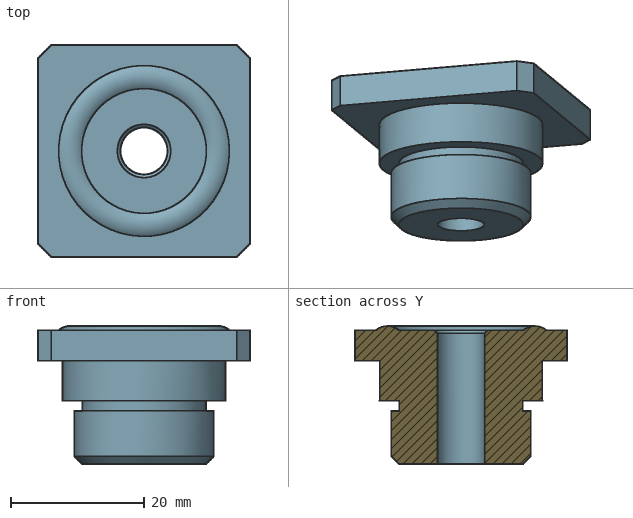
import cadquery as cq

flange_width = 31.8
flange_thickness = 4.6
corner_chamfer = 2.0

collar_diameter = 24.5
collar_length = 6.0
neck_diameter = 18.6
neck_length = 1.5
spigot_diameter = 20.96
spigot_length = 8.0
spigot_chamfer = (spigot_diameter - neck_diameter) / 2

overall_height = 20.74
ring_inner_diameter = 18.7
ring_outer_diameter = 25.6

bore_diameter = 7.0
bore_chamfer = 0.5

neck_bottom = spigot_length
collar_bottom = neck_bottom + neck_length
flange_bottom = collar_bottom + collar_length
flange_top = flange_bottom + flange_thickness


def make_flange():
    """Square plate with its four corners cut at 45 degrees."""
    return (
        cq.Workplane("XY", origin=(0, 0, flange_bottom))
        .rect(flange_width, flange_width)
        .extrude(flange_thickness)
        .edges("|Z")
        .chamfer(corner_chamfer)
    )


def make_cylinder(diameter, bottom, length):
    """Round section of the stem, standing on the given level."""
    return cq.Workplane("XY", origin=(0, 0, bottom)).circle(diameter / 2).extrude(length)


def make_stem():
    """Collar, relief neck and chamfered spigot."""
    collar = make_cylinder(collar_diameter, collar_bottom, collar_length)
    neck = make_cylinder(neck_diameter, neck_bottom, neck_length)
    spigot = make_cylinder(spigot_diameter, 0, spigot_length)
    spigot = spigot.faces("<Z").edges().chamfer(spigot_chamfer)
    return collar.union(neck).union(spigot)


def make_sealing_ring():
    """Ring with an arched cross-section, flat on the flange."""
    inner_radius = ring_inner_diameter / 2
    outer_radius = ring_outer_diameter / 2
    crest_radius = (inner_radius + outer_radius) / 2
    return (
        cq.Workplane("XZ")
        .moveTo(inner_radius, flange_top)
        .threePointArc((crest_radius, overall_height), (outer_radius, flange_top))
        .close()
        .revolve(360, (0, 0, 0), (0, 1, 0))
    )


def make_bore():
    """Through-hole cutter that widens to a 45-degree chamfer at the flange top."""
    bore_radius = bore_diameter / 2
    mouth_radius = bore_radius + bore_chamfer
    return (
        cq.Workplane("XZ")
        .polyline([
            (0, 0),
            (bore_radius, 0),
            (bore_radius, flange_top - bore_chamfer),
            (mouth_radius, flange_top),
            (0, flange_top),
        ])
        .close()
        .revolve(360, (0, 0, 0), (0, 1, 0))
    )


result = make_flange().union(make_stem()).union(make_sealing_ring()).cut(make_bore())